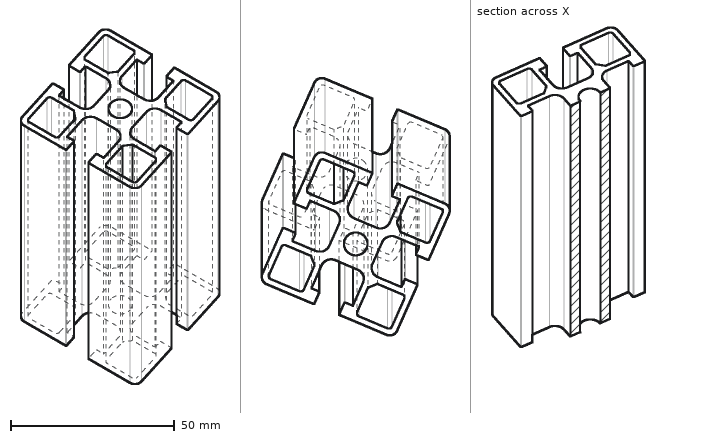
import cadquery as cq

SIDE = 45.0
LENGTH = 100.0
CORNER_RADIUS = 2.5
BORE_DIAMETER = 7.2

SLOT_OPENING = 8.3
LIP_EDGE_RADIUS = 0.2
SLOT_INNER_WIDTH = 13.8
LIP_THICKNESS = 4.3
CORE_WIDTH = 14.4
SLOT_FLOOR_RADIUS = 3.2

OUTER_WALL = 2.0
SLOT_WALL = 2.0
CHAMBER_CHAMFER = 2.2
CHAMBER_RADIUS = 1.0

HALF_SIDE = SIDE / 2
TOLERANCE = 0.01
QUARTER_TURNS = (0, 90, 180, 270)


def prism(x_min, x_max, y_min, y_max):
    """Full-length rectangular prism between the given X and Y limits."""
    width = x_max - x_min
    depth = y_max - y_min
    prism_center = ((x_min + x_max) / 2, (y_min + y_max) / 2)
    return cq.Workplane("XY").center(*prism_center).rect(width, depth).extrude(LENGTH)


def t_slot():
    """Slot on the +Y side, with rounded floor corners."""
    floor = CORE_WIDTH / 2
    half_width = SLOT_INNER_WIDTH / 2
    half_opening = SLOT_OPENING / 2
    lip_bottom = HALF_SIDE - LIP_THICKNESS
    channel = prism(-half_width, half_width, floor, lip_bottom)
    channel = channel.edges("|Z and <Y").fillet(SLOT_FLOOR_RADIUS)
    opening = prism(-half_opening, half_opening, lip_bottom, HALF_SIDE)
    return channel.union(opening)


def corner_chamber():
    """Hollow in the +X +Y corner, chamfered on the edge nearest the bore."""
    inner = SLOT_INNER_WIDTH / 2 + SLOT_WALL
    outer = HALF_SIDE - OUTER_WALL
    chamber = prism(inner, outer, inner, outer)
    chamber = chamber.edges("|Z").edges(">X or >Y").fillet(CHAMBER_RADIUS)
    return chamber.edges("|Z and <X").edges("<Y").chamfer(CHAMBER_CHAMFER)


def is_lip_edge(edge):
    """True for the inner and outer lip edges that border a slot opening."""
    center = edge.Center()
    offset_from_slot_middle = min(abs(center.x), abs(center.y))
    return abs(offset_from_slot_middle - SLOT_OPENING / 2) < TOLERANCE


body = prism(-HALF_SIDE, HALF_SIDE, -HALF_SIDE, HALF_SIDE)
body = body.edges("|Z").fillet(CORNER_RADIUS)

slot = t_slot()
chamber = corner_chamber()
for angle in QUARTER_TURNS:
    body = body.cut(slot.rotate((0, 0, 0), (0, 0, 1), angle))
    body = body.cut(chamber.rotate((0, 0, 0), (0, 0, 1), angle))

lip_edges = body.edges("|Z").filter(is_lip_edge)
body = lip_edges.fillet(LIP_EDGE_RADIUS)

bore = cq.Workplane("XY").circle(BORE_DIAMETER / 2).extrude(LENGTH)
result = body.cut(bore)